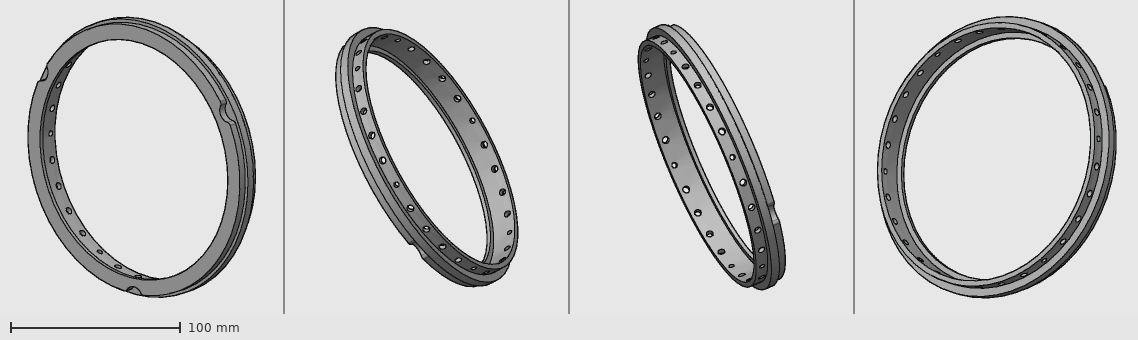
import cadquery as cq
import math

flange_radius = 83.8
lip_radius = 81.8
collar_radius = 79.0
bore_radius = 72.5
collar_bore_radius = 75.8

total_width = 17.8
collar_width = 7.5
lip_width = 5.0
counterbore_depth = 15.3

notch_count = 3
notch_radius = 6.4
notch_edge_radius = 2.5
first_notch_angle = -90.0

hole_count = 30
small_hole_interval = 5
large_hole_diameter = 4.0
large_hole_inset = 4.4
small_hole_diameter = 3.2
small_hole_inset = 3.9


def disc(radius, front, back):
    """Solid cylinder about Y between two Y positions."""
    width = back - front
    return cq.Workplane("XZ", origin=(0, front, 0)).circle(radius).extrude(-width)


def make_notched_lip():
    lip = disc(lip_radius, 0, lip_width)
    for index in range(notch_count):
        angle = math.radians(first_notch_angle + index * 360 / notch_count)
        x = flange_radius * math.cos(angle)
        z = flange_radius * math.sin(angle)
        cutter = cq.Workplane("XZ").center(x, z).circle(notch_radius).extrude(-lip_width)
        lip = lip.cut(cutter)
    corners = lip.edges("|Y").filter(is_notch_corner)
    return corners.fillet(notch_edge_radius)


def is_notch_corner(edge):
    """True for an axial edge where a notch wall meets the lip rim."""
    tolerance = 0.002
    middle = edge.Center()
    on_rim = abs(math.hypot(middle.x, middle.z) - lip_radius) < tolerance
    for index in range(notch_count):
        angle = math.radians(first_notch_angle + index * 360 / notch_count)
        dx = middle.x - flange_radius * math.cos(angle)
        dz = middle.z - flange_radius * math.sin(angle)
        if on_rim and abs(math.hypot(dx, dz) - notch_radius) < tolerance:
            return True
    return False


def make_radial_hole(index):
    is_small = index % small_hole_interval == 0
    diameter = small_hole_diameter if is_small else large_hole_diameter
    inset = small_hole_inset if is_small else large_hole_inset
    angle = math.radians(index * 360 / hole_count)
    direction = cq.Vector(math.cos(angle), 0, math.sin(angle))
    start = cq.Vector(0, total_width - inset, 0)
    return cq.Solid.makeCylinder(diameter / 2, flange_radius, start, direction)


flange = disc(flange_radius, lip_width, total_width - collar_width)
collar = disc(collar_radius, total_width - collar_width, total_width)
body = make_notched_lip().union(flange).union(collar)

body = body.cut(disc(bore_radius, 0, total_width))
body = body.cut(disc(collar_bore_radius, total_width - counterbore_depth, total_width))

for hole_index in range(hole_count):
    body = body.cut(cq.Workplane(make_radial_hole(hole_index)))

result = body